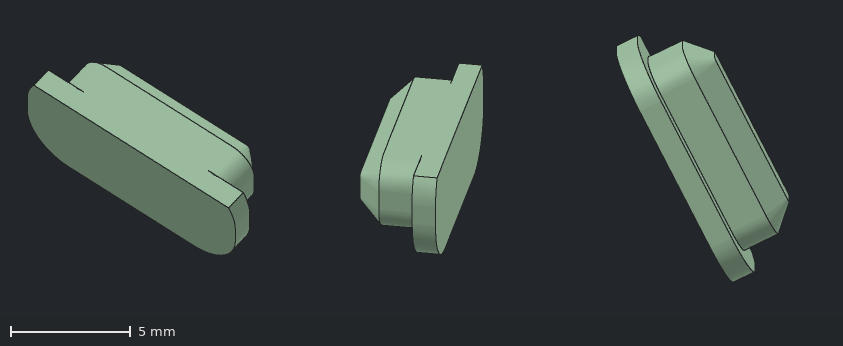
import cadquery as cq

flange_length = 11.0
flange_thickness = 1.0
flange_radius = 2.2
rim = 1.0
plug_height = 3.3
plug_depth = 2.6
tip_chamfer = 1.0

plug_length = flange_length - 2 * rim
plug_radius = flange_radius - rim
full_flange_height = plug_height + 2 * rim
flange_height = full_flange_height - rim
center_z = full_flange_height / 2


def rounded_block(length, height, depth, radius, front_y):
    """Block with corners rounded along Y, reaching back from front_y."""
    return (
        cq.Workplane("XY")
        .box(length, depth, height, centered=(True, False, True))
        .edges("|Y")
        .fillet(radius)
        .translate((0, front_y, center_z))
    )


def make_flange():
    """Rounded plate with its upper rim cut off flush with the plug top."""
    plate = rounded_block(flange_length, full_flange_height, flange_thickness, flange_radius, 0)
    keep = cq.Workplane("XY").box(
        flange_length, flange_thickness, flange_height, centered=(True, False, False)
    )
    return plate.intersect(keep)


def make_plug():
    """Rounded plug with a chamfered tip at the back."""
    plug = rounded_block(plug_length, plug_height, plug_depth, plug_radius, flange_thickness)
    return plug.faces(">Y").chamfer(tip_chamfer)


result = make_flange().union(make_plug())